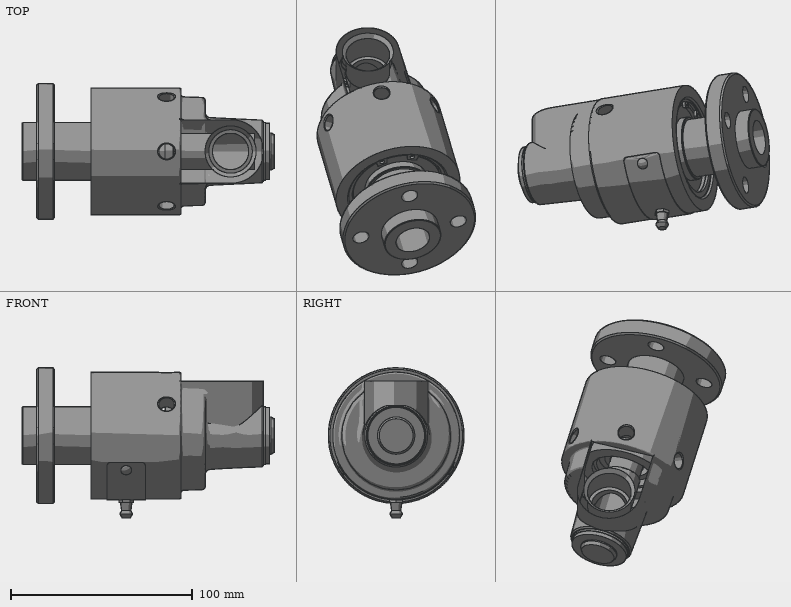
import cadquery as cq
import math


OVERLAP = 1.0
TOLERANCE = 0.05

SHAFT_D = 32.0
SHAFT_BORE_D = 19.0
SEAL_BORE_D = 18.3
SHAFT_EDGE = 0.4
SHAFT_NECK_D = 25.0
FLANGE_D = 75.0
FLANGE_X = 8.0
FLANGE_T = 9.8
FLANGE_EDGE = 0.9
BOLT_COUNT = 4
BOLT_D = 9.0
BOLT_CIRCLE_R = 27.5

BODY_D = 70.0
BODY_X0 = 37.9
BODY_X1 = 87.6
BODY_EDGE = 1.0
MOUTH_D = 55.0
MOUTH_CHAMFER = 1.0
COVER_D = 49.0
COVER_FACE_DEPTH = 5.0

RING_FACE_DEPTH = 1.5
RING_T = 1.5
RING_OPENING_R = 25.4
RING_OPENING_RISE = 1.0
RING_GAP = 11.6
RING_GAP_R = 26.4
LUG_ANGLE = 20.0
LUG_W = 6.5
LUG_INNER_R = 22.8
LUG_HOLE_R = 25.0
LUG_HOLE_D = 2.5

GLAND_D = 35.0
GLAND_X0 = 38.8
GLAND_EDGE = 0.4

WEEP_X = 79.6
WEEP_D = 8.5
WEEP_CHAMFER = 0.7
WEEP_ANGLES = (30.0, 90.0, 150.0)
CHAMBER_D = 49.0
CHAMBER_X0 = 70.0
CHAMBER_X1 = 86.0
SEAL_RING_X = 78.8
SEAL_RING_D = 32.0
SEAL_SEAT_X = 83.1
SEAL_SEAT_D = 35.6

COLLAR_X1 = 101.0
COLLAR_R0 = 30.3
COLLAR_R1 = 29.8
COLLAR_RIM = 2.0
COLLAR_BLEND = 2.8
COLLAR_ROOT = 1.4
NECK_X1 = 133.0
NECK_R0 = 18.9
NECK_R1 = 17.3
NECK_EDGE = 0.8
MAIN_BORE_D = 20.0
MAIN_BORE_X1 = 128.0

PLUG_STEPS = ((32.0, 134.2), (31.2, 136.4), (20.6, 137.2))
PLUG_TIP_X1 = 139.0
PLUG_TIP_D = 18.63

PORT_X = 114.9
PORT_TOP_Z = 30.0
PORT_W = 34.9
PORT_ARC_X = 115.7
PORT_MOUTH_D = 28.2
PORT_THREAD_D = 24.0
PORT_BORE_D = 20.0
PORT_THREAD_DEPTH = 17.0

PLATE_X0 = 46.8
PLATE_X1 = 67.9
PLATE_TOP_Z = -14.7
PLATE_T = 0.5
PLATE_CORNER_R = 2.0
RIVET_D = 6.0
RIVET_Z = -19.1
RIVET_H = 1.2
NIPPLE_X = (PLATE_X0 + PLATE_X1) / 2
NIPPLE_HEX_D = 8.2
NIPPLE_HEX_Z = -37.0
NIPPLE_OUTLINE = ((3.2, NIPPLE_HEX_Z), (2.6, -41.4), (3.5, -43.2), (2.2, -45.5))


def rod(diameter, x0, x1):
    """Cylinder on the main axis from x0 to x1."""
    return cq.Workplane("YZ", origin=(x0, 0, 0)).circle(diameter / 2).extrude(x1 - x0)


def cone(d0, x0, d1, x1):
    """Truncated cone on the main axis."""
    profile = cq.Workplane("XY").polyline([(x0, 0), (x0, d0 / 2), (x1, d1 / 2), (x1, 0)]).close()
    return profile.revolve(360, (0, 0, 0), (1, 0, 0))


def fillet_where(solid, test, radius):
    """Fillet the edges whose bounding box passes the test."""
    edges = [edge for edge in solid.edges().vals() if test(edge.BoundingBox())]
    return solid.newObject(edges).fillet(radius)


def lies_at_x(box, x):
    """True for an edge that stays in the plane X = x."""
    return abs(box.xmin - x) < TOLERANCE and abs(box.xmax - x) < TOLERANCE


def is_collar_rim(box):
    """True for the outer edge of the collar end face."""
    return lies_at_x(box, COLLAR_X1) and box.ymax > COLLAR_R1 - TOLERANCE


def is_collar_blend(box):
    """True for the inner edges where the collar meets the neck and the sides of the port block."""
    below_port_top = box.zmax < PORT_TOP_Z - OVERLAP
    on_end_face = lies_at_x(box, COLLAR_X1) and -box.zmin < NECK_R0 + TOLERANCE
    reaches_rim = box.xmax > COLLAR_X1 - COLLAR_RIM - TOLERANCE
    along_block = box.xmin < BODY_X1 and reaches_rim and box.zmin > PORT_W / 2
    return below_port_top and (on_end_face or along_block)


def is_collar_root(box):
    """True for the edges where the collar and its blends leave the body."""
    return lies_at_x(box, BODY_X1) and box.zmax < PORT_TOP_Z - COLLAR_BLEND


def make_shaft():
    """Shaft with its bolt flange and the gland inside the body mouth."""
    shaft = rod(SHAFT_D, 0, GLAND_X0).faces("<X").edges().chamfer(SHAFT_EDGE)
    gland = rod(GLAND_D, GLAND_X0, BODY_X0 + COVER_FACE_DEPTH + OVERLAP)
    gland = gland.faces("<X").edges().chamfer(GLAND_EDGE)
    flange = rod(FLANGE_D, FLANGE_X, FLANGE_X + FLANGE_T).edges().chamfer(FLANGE_EDGE)
    bolts = (
        cq.Workplane("YZ", origin=(FLANGE_X, 0, 0))
        .polarArray(BOLT_CIRCLE_R, 0, 360, BOLT_COUNT)
        .circle(BOLT_D / 2)
        .extrude(FLANGE_T)
    )
    return shaft.union(gland).union(flange).cut(bolts)


def make_port_block():
    """Round-ended block that carries the side port."""
    x0 = BODY_X1 - BODY_EDGE
    return (
        cq.Workplane("XY")
        .moveTo(x0, -PORT_W / 2)
        .lineTo(PORT_ARC_X, -PORT_W / 2)
        .threePointArc((NECK_X1, 0), (PORT_ARC_X, PORT_W / 2))
        .lineTo(x0, PORT_W / 2)
        .close()
        .extrude(PORT_TOP_Z)
    )


def make_housing():
    """Body, tapered collar and neck, with the port block blended into them."""
    collar = cone(2 * COLLAR_R0, BODY_X1 - BODY_EDGE, 2 * COLLAR_R1, COLLAR_X1)
    above_port = (
        cq.Workplane("XY", origin=(BODY_X1, 0, PORT_TOP_Z))
        .rect(2 * (COLLAR_X1 - BODY_X1 + OVERLAP), PORT_W)
        .extrude(OVERLAP)
    )
    neck = cone(2 * NECK_R0, COLLAR_X1 - OVERLAP, 2 * NECK_R1, NECK_X1)
    neck = neck.faces(">X").edges().chamfer(NECK_EDGE)
    housing = collar.cut(above_port).union(make_port_block()).union(neck)
    housing = fillet_where(housing, is_collar_rim, COLLAR_RIM)
    housing = fillet_where(housing, is_collar_blend, COLLAR_BLEND)
    body = rod(BODY_D, BODY_X0, BODY_X1).faces(">X").edges().fillet(BODY_EDGE)
    return fillet_where(body.union(housing), is_collar_root, COLLAR_ROOT)


def cut_flow_path(part):
    """Shaft bore, housing bore and side port."""
    port_top = cq.Workplane("XY", origin=(PORT_X, 0, PORT_TOP_Z))
    mouth_drop = (PORT_MOUTH_D - PORT_THREAD_D) / 2
    mouth = (
        port_top.circle(PORT_MOUTH_D / 2)
        .workplane(offset=-mouth_drop)
        .circle(PORT_THREAD_D / 2)
        .loft()
    )
    thread = port_top.circle(PORT_THREAD_D / 2).extrude(-PORT_THREAD_DEPTH)
    port_bore = port_top.circle(PORT_BORE_D / 2).extrude(-PORT_TOP_Z)
    part = part.cut(rod(SHAFT_BORE_D, 0, SEAL_RING_X))
    part = part.cut(rod(SEAL_BORE_D, SEAL_RING_X, BODY_X1))
    part = part.cut(rod(MAIN_BORE_D, BODY_X1, MAIN_BORE_X1))
    return part.cut(mouth).cut(thread).cut(port_bore)


def cut_body_mouth(part):
    """Recess in the body face down to the seal cover, leaving the snap ring and its lugs."""
    ring_x0 = BODY_X0 + RING_FACE_DEPTH
    cover_x = BODY_X0 + COVER_FACE_DEPTH
    chamfer = cone(MOUTH_D + 2 * MOUTH_CHAMFER, BODY_X0, MOUTH_D, BODY_X0 + MOUTH_CHAMFER)
    mouth = chamfer.union(rod(MOUTH_D, BODY_X0, ring_x0))
    ring_plane = cq.Workplane("YZ", origin=(ring_x0, 0, 0))
    opening = ring_plane.center(0, RING_OPENING_RISE).circle(RING_OPENING_R).extrude(RING_T)
    gap_side = ring_plane.center(0, RING_GAP_R / 2).rect(RING_GAP, RING_GAP_R + 2 * OVERLAP).extrude(RING_T)
    gap = rod(2 * RING_GAP_R, ring_x0, ring_x0 + RING_T).intersect(gap_side)
    lug_length = MOUTH_D / 2 - LUG_INNER_R
    lug = ring_plane.center(0, LUG_INNER_R + lug_length / 2).rect(LUG_W, lug_length).extrude(RING_T)
    lug_hole = ring_plane.center(0, LUG_HOLE_R).circle(LUG_HOLE_D / 2).extrude(RING_T)
    for angle in (LUG_ANGLE, -LUG_ANGLE):
        opening = opening.cut(lug.rotate((0, 0, 0), (1, 0, 0), angle))
        opening = opening.union(lug_hole.rotate((0, 0, 0), (1, 0, 0), angle))
    recess = mouth.union(opening).union(gap).union(rod(COVER_D, ring_x0 + RING_T, cover_x))
    return part.cut(recess)


def cut_weep_chamber(part):
    """Annular chamber round the shaft and the three radial weep holes."""
    core = rod(SHAFT_NECK_D, CHAMBER_X0, SEAL_RING_X)
    core = core.union(rod(SEAL_RING_D, SEAL_RING_X, SEAL_SEAT_X))
    core = core.union(rod(SEAL_SEAT_D, SEAL_SEAT_X, CHAMBER_X1))
    part = part.cut(rod(CHAMBER_D, CHAMBER_X0, CHAMBER_X1).cut(core))
    inner_r = CHAMBER_D / 2 - OVERLAP
    rim_r = BODY_D / 2
    hole_r = WEEP_D / 2
    outline = [
        (0, inner_r),
        (hole_r, inner_r),
        (hole_r, rim_r - WEEP_CHAMFER),
        (hole_r + 2 * WEEP_CHAMFER, rim_r + WEEP_CHAMFER),
        (0, rim_r + WEEP_CHAMFER),
    ]
    upright = cq.Workplane("XZ").polyline(outline).close().revolve(360, (0, 0, 0), (0, 1, 0))
    for angle in WEEP_ANGLES:
        hole = upright.translate((WEEP_X, 0, 0)).rotate((0, 0, 0), (1, 0, 0), angle - 90)
        part = part.cut(hole)
    return part


def make_plug():
    """Stepped plug that closes the free end of the neck."""
    plug = cone(*PLUG_STEPS[-1], PLUG_TIP_D, PLUG_TIP_X1)
    start = NECK_X1
    for diameter, end in PLUG_STEPS:
        plug = plug.union(rod(diameter, start, end))
        start = end
    return plug


def make_name_plate():
    """Curved plate wrapped round the underside of the body, held by a domed rivet on each side."""
    shell = rod(BODY_D + 2 * PLATE_T, PLATE_X0, PLATE_X1).cut(rod(BODY_D - 2 * OVERLAP, PLATE_X0, PLATE_X1))
    height = PLATE_TOP_Z + BODY_D
    window = (
        cq.Workplane("XY")
        .box(PLATE_X1 - PLATE_X0, 2 * BODY_D, height)
        .edges("|Y and >Z")
        .fillet(PLATE_CORNER_R)
        .translate((NIPPLE_X, 0, PLATE_TOP_Z - height / 2))
    )
    plate = shell.intersect(window)
    rivet_reach = BODY_D / 2 + PLATE_T + RIVET_H
    dome_r = (RIVET_D**2 / 4 + RIVET_H**2) / (2 * RIVET_H)
    dome = cq.Workplane("XY").sphere(dome_r).translate((NIPPLE_X, 0, rivet_reach - dome_r))
    stem_z0 = BODY_D / 2 - OVERLAP
    stem = cq.Workplane("XY", origin=(NIPPLE_X, 0, stem_z0)).circle(RIVET_D / 2)
    stem = stem.extrude(rivet_reach - stem_z0)
    rivet_tilt = math.degrees(math.acos(RIVET_Z / (BODY_D / 2 + PLATE_T)))
    rivet = dome.intersect(stem)
    for side in (1, -1):
        plate = plate.union(rivet.rotate((0, 0, 0), (1, 0, 0), side * rivet_tilt))
    return plate


def make_nipple():
    """Grease nipple under the body: hexagon, waist and head."""
    root_z = -BODY_D / 2 + OVERLAP
    hexagon = (
        cq.Workplane("XY", origin=(NIPPLE_X, 0, root_z))
        .polygon(6, NIPPLE_HEX_D)
        .extrude(NIPPLE_HEX_Z - root_z)
    )
    outline = [(0, NIPPLE_OUTLINE[0][1])] + list(NIPPLE_OUTLINE) + [(0, NIPPLE_OUTLINE[-1][1])]
    turned = cq.Workplane("XZ").polyline(outline).close().revolve(360, (0, 0, 0), (0, 1, 0))
    return hexagon.union(turned.translate((NIPPLE_X, 0, 0)))


part = make_housing().union(make_plug())
part = cut_body_mouth(part)
part = part.union(make_shaft())
part = cut_flow_path(part)
part = cut_weep_chamber(part)
result = part.union(make_name_plate()).union(make_nipple())